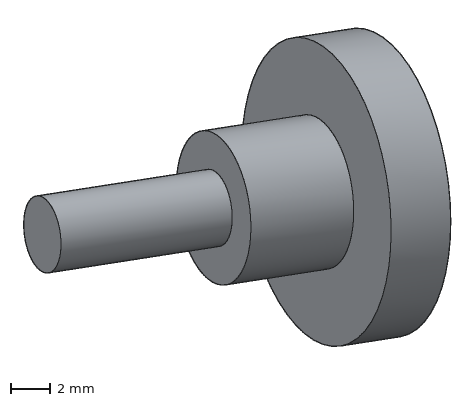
import cadquery as cq

total_length = 19.5
head_diameter = 16.0
hub_diameter = head_diameter / 2
pin_diameter = hub_diameter / 2
head_length = 3.5
hub_length = 6.0
pin_length = total_length - head_length - hub_length


def cylinder_along_y(diameter, start_y, length):
    """Solid cylinder on the Y axis, growing from start_y toward +Y."""
    start_plane = cq.Workplane("XZ", origin=(0, start_y, 0))
    return start_plane.circle(diameter / 2).extrude(-length)


pin = cylinder_along_y(pin_diameter, 0, pin_length)
hub = cylinder_along_y(hub_diameter, pin_length, hub_length)
head = cylinder_along_y(head_diameter, pin_length + hub_length, head_length)

result = pin.union(hub).union(head)